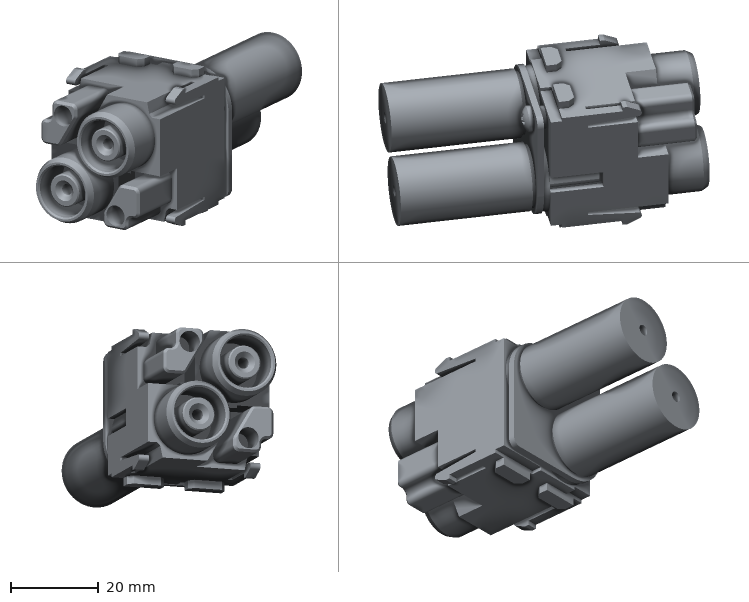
import cadquery as cq
import math


REAR_END = 71.7
POST_TIP_Y = 3.0
HOUSING_FRONT_Y = 10.0
NOTCH_FLOOR_Y = 17.1
LUG_FRONT_Y = 30.9
LUG_REAR_Y = 34.6
HOUSING_REAR_Y = 37.2
PLATE_FRONT_Y = 38.8
PLATE_REAR_Y = 40.3
TUBE_FRONT_Y = 41.15

HOUSING_WIDTH = 29.3
HOUSING_HEIGHT = 30.4
HALF_WIDTH = HOUSING_WIDTH / 2
HALF_HEIGHT = HOUSING_HEIGHT / 2

POLE_X = 5.5
POLE_Z = 6.4
SLEEVE_RADIUS = 7.75
SLEEVE_CHAMFER_LENGTH = 1.5
SLEEVE_CHAMFER_HEIGHT = 0.8
SOCKET_RADIUS = 6.1
SOCKET_LIP_CHAMFER = 0.35
SOCKET_FLOOR_Y = HOUSING_FRONT_Y
CONTACT_RADIUS = 3.9
CONTACT_TIP_Y = 1.1
CONTACT_CHAMFER = 0.3
BORE_RADIUS = 1.3
COUNTERSINK_RADIUS = 2.45
COUNTERSINK_DEPTH = COUNTERSINK_RADIUS - BORE_RADIUS
COLLAR_BASE_RADIUS = 8.45
COLLAR_TOP_RADIUS = 8.2
NECK_RADIUS = 7.3
TUBE_RADIUS = 7.95

NOTCH_LOW_Z = 1.9
NOTCH_STEP_X = -6.8
NOTCH_STEP_Z = 2.5
NOTCH_INNER_X = -3.4
NOTCH_BEND_Z = 8.7
NOTCH_TOP_X = 0.35
POST_LEFT_X = -13.3
POST_SHOULDER_X = -10.25
POST_FOOT_X = -8.1
POST_RIGHT_X = -3.6
POST_BOTTOM_Z = 3.15
UPPER_POST_SHOULDER_Z = 8.95
LOWER_POST_SHOULDER_Z = 10.55
POST_SLOPE_TOP_Z = 10.75
POST_TOP_Z = 13.9
POST_FILLET = 1.35
POST_TIP_CHAMFER = 0.6
POST_HOLE_RADIUS = 2.45
POST_HOLE_DEPTH = 7.2

SCREW_X = -7.1
SCREW_Z = 10.7

LUG_TIP_TO_TIP_HEIGHT = 34.2
LUG_TOP_Z = LUG_TIP_TO_TIP_HEIGHT / 2
LUG_SPACING = 14.7
TOP_LUG_WIDTH = 7.1
BOTTOM_LUG_WIDTH = 8.9
LUG_CHAMFER_LENGTH = 1.35
LUG_CHAMFER_WIDTH = 1.15

REAR_STEP_DEPTH = 0.85
REAR_STEP_WIDE_END_X = -2.1
REAR_STEP_NARROW_START_X = 9.4

ARM_WIDTH = 2.45
ARM_ROOT_Y = 28.6
ARM_ROOT_UNDERSIDE_Z = 12.5
NOSE_LOW_Y = 16.6
NOSE_LOW_Z = 13.4
NOSE_TIP_Y = 16.1
NOSE_TIP_Z = 14.2
NOSE_HIGH_Y = 16.6
NOSE_HIGH_Z = 15.0
BARB_TOP_Z = 16.3
BARB_REAR_Y = 20.6
BARB_CREST_Y = 19.5
SLIT_BOTTOM_Z = 11.75
SLIT_BOTTOM_WIDTH = 2.2
SLIT_CORNER_X = 2.95
SLIT_CORNER_Z = 12.55
SLIT_TOP_X = 3.5

WINDOW_FRONT_Y = 25.0
WINDOW_TOP_Z = -1.1
WINDOW_BOTTOM_Z = -5.15
WINDOW_DEPTH = 1.6
RIDGE_FRONT_Y = 25.75
RIDGE_CREST_Z = -3.4
RIDGE_CREST_DEPTH = 0.85
RIDGE_BACK_Z = -4.2
RIDGE_BACK_DEPTH = 1.1
RIDGE_BOTTOM_Z = -4.65

PLATE_HEIGHT = 30.1
PLATE_SMALL_RADIUS = 2.15
PLATE_LARGE_RADIUS = 9.2
BOSS_RADIUS = 2.65
SHANK_RADIUS = 1.4
SHANK_END_Y = 31.55
HEAD_RADIUS = 3.0
HEAD_RIM_Y = 41.3
HEAD_TOP_Y = 42.5
RECESS_LENGTH = 3.45
RECESS_WIDTH = 0.85
RECESS_DEPTH = 1.0


def section(y):
    """Workplane across the module at Y = y; extruding runs towards -Y."""
    return cq.Workplane("XZ", origin=(0, y, 0))


def cylinder(x, z, radius, front_y, rear_y):
    return section(rear_y).center(x, z).circle(radius).extrude(rear_y - front_y)


def block(x_min, x_max, front_y, rear_y, z_min, z_max):
    size = (x_max - x_min, rear_y - front_y, z_max - z_min)
    return cq.Workplane("XY").box(*size, centered=False).translate((x_min, front_y, z_min))


def half_turn(shape):
    """Copy on the diagonally opposite side of the module axis."""
    return shape.rotate((0, 0, 0), (0, 1, 0), 180)


def revolved(profile, x, z):
    """Body of revolution about the Y-parallel axis through (x, z); profile is (radius, y)."""
    return profile.close().revolve(360, (0, 0, 0), (0, 1, 0)).translate((x, 0, z))


def pole_body():
    """Front sleeve with contact socket, tapered collar, neck and cable tube of one pole."""
    chamfered_sleeve_radius = SLEEVE_RADIUS - SLEEVE_CHAMFER_HEIGHT
    profile = cq.Workplane("XY").polyline([
        (BORE_RADIUS, CONTACT_TIP_Y + COUNTERSINK_DEPTH),
        (COUNTERSINK_RADIUS, CONTACT_TIP_Y),
        (CONTACT_RADIUS - CONTACT_CHAMFER, CONTACT_TIP_Y),
        (CONTACT_RADIUS, CONTACT_TIP_Y + CONTACT_CHAMFER),
        (CONTACT_RADIUS, SOCKET_FLOOR_Y),
        (SOCKET_RADIUS, SOCKET_FLOOR_Y),
        (SOCKET_RADIUS, SOCKET_LIP_CHAMFER),
        (SOCKET_RADIUS + SOCKET_LIP_CHAMFER, 0),
        (chamfered_sleeve_radius, 0),
        (SLEEVE_RADIUS, SLEEVE_CHAMFER_LENGTH),
        (SLEEVE_RADIUS, HOUSING_REAR_Y),
        (COLLAR_BASE_RADIUS, HOUSING_REAR_Y),
        (COLLAR_TOP_RADIUS, PLATE_FRONT_Y),
        (NECK_RADIUS, PLATE_FRONT_Y),
        (NECK_RADIUS, TUBE_FRONT_Y),
        (TUBE_RADIUS, TUBE_FRONT_Y),
        (TUBE_RADIUS, REAR_END),
        (BORE_RADIUS, REAR_END),
    ])
    return revolved(profile, POLE_X, POLE_Z)


def coding_notch():
    """Space cut out of the upper -X corner of the front face."""
    outline = [
        (-HALF_WIDTH, NOTCH_LOW_Z),
        (NOTCH_STEP_X, NOTCH_LOW_Z),
        (NOTCH_STEP_X, NOTCH_STEP_Z),
        (NOTCH_INNER_X, NOTCH_STEP_Z),
        (NOTCH_INNER_X, NOTCH_BEND_Z),
        (NOTCH_TOP_X, HALF_HEIGHT),
        (-HALF_WIDTH, HALF_HEIGHT),
    ]
    return section(NOTCH_FLOOR_Y).polyline(outline).close().extrude(NOTCH_FLOOR_Y - HOUSING_FRONT_Y)


def coding_post(shoulder_z):
    """Rounded post with a blind hole, standing on the floor of the upper coding notch."""
    outline = [
        (POST_LEFT_X, POST_BOTTOM_Z),
        (POST_FOOT_X, POST_BOTTOM_Z),
        (POST_RIGHT_X, POST_SLOPE_TOP_Z),
        (POST_RIGHT_X, POST_TOP_Z),
        (POST_SHOULDER_X, POST_TOP_Z),
        (POST_SHOULDER_X, shoulder_z),
        (POST_LEFT_X, shoulder_z),
    ]
    post = section(NOTCH_FLOOR_Y).polyline(outline).close().extrude(NOTCH_FLOOR_Y - POST_TIP_Y)
    post = post.edges("|Y").fillet(POST_FILLET)
    post = post.faces("<Y").chamfer(POST_TIP_CHAMFER)
    hole = cylinder(SCREW_X, SCREW_Z, POST_HOLE_RADIUS, POST_TIP_Y, POST_TIP_Y + POST_HOLE_DEPTH)
    return post.cut(hole)


def lug(x, width):
    """Lug on the top face, with its two front corners cut off."""
    half = width / 2
    outline = [
        (x - half, LUG_REAR_Y),
        (x - half, LUG_FRONT_Y + LUG_CHAMFER_LENGTH),
        (x - half + LUG_CHAMFER_WIDTH, LUG_FRONT_Y),
        (x + half - LUG_CHAMFER_WIDTH, LUG_FRONT_Y),
        (x + half, LUG_FRONT_Y + LUG_CHAMFER_LENGTH),
        (x + half, LUG_REAR_Y),
    ]
    base_z = HALF_HEIGHT - REAR_STEP_DEPTH
    return (cq.Workplane("XY", origin=(0, 0, base_z))
            .polyline(outline).close().extrude(LUG_TOP_Z - base_z))


def rear_steps():
    """A wide and a narrow step at the rear edge of the top face."""
    z_min = HALF_HEIGHT - REAR_STEP_DEPTH
    wide = block(-HALF_WIDTH, REAR_STEP_WIDE_END_X, LUG_REAR_Y, HOUSING_REAR_Y, z_min, HALF_HEIGHT)
    narrow = block(REAR_STEP_NARROW_START_X, HALF_WIDTH, LUG_REAR_Y, HOUSING_REAR_Y, z_min, HALF_HEIGHT)
    return wide.union(narrow)


def arm_pocket():
    """Space around the snap arm at the upper -X edge, open to the front."""
    outline = [
        (-HALF_WIDTH, SLIT_BOTTOM_Z),
        (SLIT_BOTTOM_WIDTH - HALF_WIDTH, SLIT_BOTTOM_Z),
        (SLIT_CORNER_X - HALF_WIDTH, SLIT_CORNER_Z),
        (SLIT_TOP_X - HALF_WIDTH, HALF_HEIGHT),
        (-HALF_WIDTH, HALF_HEIGHT),
    ]
    return section(ARM_ROOT_Y).polyline(outline).close().extrude(ARM_ROOT_Y - HOUSING_FRONT_Y)


def snap_arm():
    """Flexible arm with a barb, at the upper -X edge."""
    outline = (cq.Workplane("YZ", origin=(-HALF_WIDTH, 0, 0))
               .moveTo(ARM_ROOT_Y, ARM_ROOT_UNDERSIDE_Z)
               .lineTo(NOSE_LOW_Y, NOSE_LOW_Z)
               .threePointArc((NOSE_TIP_Y, NOSE_TIP_Z), (NOSE_HIGH_Y, NOSE_HIGH_Z))
               .lineTo(BARB_CREST_Y, BARB_TOP_Z)
               .lineTo(BARB_REAR_Y, BARB_TOP_Z)
               .lineTo(BARB_REAR_Y, HALF_HEIGHT)
               .lineTo(ARM_ROOT_Y, HALF_HEIGHT)
               .close())
    return outline.extrude(ARM_WIDTH)


def side_window():
    """Pocket in the -X wall, open to the rear, with a round-backed ridge along its floor."""
    floor_x = WINDOW_DEPTH - HALF_WIDTH
    pocket = block(-HALF_WIDTH, floor_x, WINDOW_FRONT_Y, HOUSING_REAR_Y, WINDOW_BOTTOM_Z, WINDOW_TOP_Z)
    ridge = (section(HOUSING_REAR_Y)
             .moveTo(floor_x, WINDOW_TOP_Z)
             .lineTo(RIDGE_CREST_DEPTH - HALF_WIDTH, RIDGE_CREST_Z)
             .threePointArc((RIDGE_BACK_DEPTH - HALF_WIDTH, RIDGE_BACK_Z), (floor_x, RIDGE_BOTTOM_Z))
             .close()
             .extrude(HOUSING_REAR_Y - RIDGE_FRONT_Y))
    return pocket.cut(ridge)


def four_corners(shape):
    """The shape and its mirror images in the X = 0 and Z = 0 planes."""
    pair = [shape, shape.mirror("YZ")]
    return pair + [side.mirror("XY") for side in pair]


def housing():
    """Moulded housing with both poles, coding posts, lugs, snap arms and screw boss."""
    body = block(-HALF_WIDTH, HALF_WIDTH, HOUSING_FRONT_Y, HOUSING_REAR_Y, -HALF_HEIGHT, HALF_HEIGHT)

    for cutter in (coding_notch(), rear_steps()):
        body = body.cut(cutter).cut(half_turn(cutter))
    for pocket in four_corners(arm_pocket()):
        body = body.cut(pocket)
    body = body.cut(side_window())

    for arm in four_corners(snap_arm()):
        body = body.union(arm)
    for x in (-LUG_SPACING / 2, LUG_SPACING / 2):
        body = body.union(lug(x, TOP_LUG_WIDTH))
        body = body.union(half_turn(lug(x, BOTTOM_LUG_WIDTH)))
    body = body.union(coding_post(UPPER_POST_SHOULDER_Z))
    body = body.union(half_turn(coding_post(LOWER_POST_SHOULDER_Z)))

    bore = cylinder(POLE_X, POLE_Z, BORE_RADIUS, HOUSING_FRONT_Y, HOUSING_REAR_Y)
    body = body.cut(bore).cut(half_turn(bore))
    pole = pole_body()
    body = body.union(pole).union(half_turn(pole))

    boss = cylinder(SCREW_X, SCREW_Z, BOSS_RADIUS, HOUSING_REAR_Y, PLATE_FRONT_Y)
    screw_hole = cylinder(SCREW_X, SCREW_Z, SHANK_RADIUS, SHANK_END_Y, PLATE_FRONT_Y)
    return body.union(boss).cut(screw_hole)


def retaining_plate():
    """Plate around both pole necks; its corners beside the poles are rounded more."""
    thickness = PLATE_REAR_Y - PLATE_FRONT_Y
    plate = section(PLATE_REAR_Y).rect(HOUSING_WIDTH, PLATE_HEIGHT).extrude(thickness)
    for corner in ("<X and >Z", ">X and <Z"):
        plate = plate.edges("|Y").edges(corner).fillet(PLATE_SMALL_RADIUS)
    for corner in (">X and >Z", "<X and <Z"):
        plate = plate.edges("|Y").edges(corner).fillet(PLATE_LARGE_RADIUS)
    neck_hole = cylinder(POLE_X, POLE_Z, NECK_RADIUS, PLATE_FRONT_Y, PLATE_REAR_Y)
    screw_hole = cylinder(SCREW_X, SCREW_Z, SHANK_RADIUS, PLATE_FRONT_Y, PLATE_REAR_Y)
    return plate.cut(neck_hole).cut(half_turn(neck_hole)).cut(screw_hole)


def plate_screw():
    """Domed screw with a cross recess, holding the plate on the boss."""
    dome_height = HEAD_TOP_Y - HEAD_RIM_Y
    dome_radius = (HEAD_RADIUS ** 2 + dome_height ** 2) / (2 * dome_height)
    dome_centre_y = HEAD_TOP_Y - dome_radius
    mid_radius = HEAD_RADIUS / 2
    mid_y = dome_centre_y + math.sqrt(dome_radius ** 2 - mid_radius ** 2)
    profile = (cq.Workplane("XY")
               .moveTo(0, SHANK_END_Y)
               .lineTo(SHANK_RADIUS, SHANK_END_Y)
               .lineTo(SHANK_RADIUS, PLATE_REAR_Y)
               .lineTo(HEAD_RADIUS, PLATE_REAR_Y)
               .lineTo(HEAD_RADIUS, HEAD_RIM_Y)
               .threePointArc((mid_radius, mid_y), (0, HEAD_TOP_Y)))
    screw = revolved(profile, SCREW_X, SCREW_Z)
    for length_x, length_z in ((RECESS_LENGTH, RECESS_WIDTH), (RECESS_WIDTH, RECESS_LENGTH)):
        slot = section(HEAD_TOP_Y).center(SCREW_X, SCREW_Z).rect(length_x, length_z).extrude(RECESS_DEPTH)
        screw = screw.cut(slot)
    return screw


result = cq.Compound.makeCompound([
    housing().val(),
    retaining_plate().val(),
    plate_screw().val(),
])